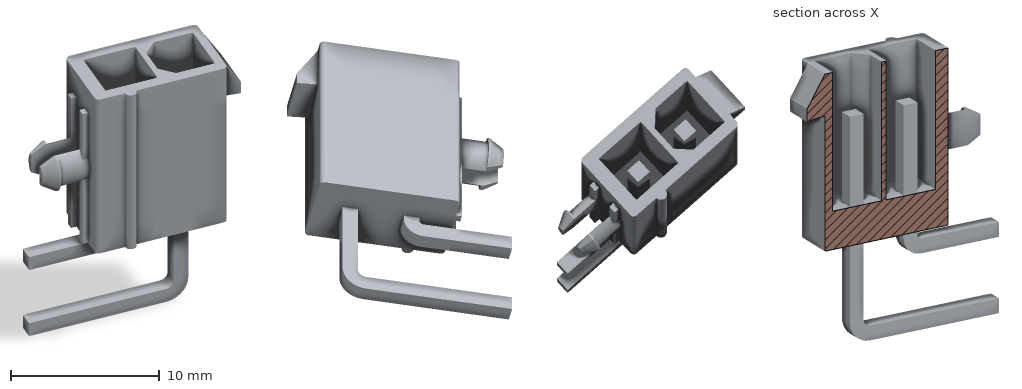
import cadquery as cq
import math


body_width = 5.4
body_length = 9.6
body_height = 12.8
corner_radius = 0.3
front_y = -body_length / 2
back_y = body_length / 2

pin_size = 1.07
pin_pitch = 4.2
row_centre_y = 0.2
front_pin_y = row_centre_y - pin_pitch / 2
back_pin_y = row_centre_y + pin_pitch / 2
pocket_size = 3.8
pocket_depth = 10.0
pocket_floor_z = body_height - pocket_depth
key_chamfer = 0.95
pin_tip_z = body_height - 3.5

tail_reach = 4.0
tail_end_y = front_y - tail_reach
back_tail_bottom_z = -7.13
tail_row_spacing = 5.5
front_tail_bottom_z = back_tail_bottom_z + tail_row_spacing
front_bend_radius = 0.28
back_bend_radius = 0.55

latch_width = 3.4
latch_reach = 1.4
latch_ramp_drop = 2.26
latch_tip_drop = 3.2
latch_root_drop = 3.05

bead_radius = 0.4
bead_y = front_y + 2.5

rib_inner_x = 0.72
rib_width = 0.53
rib_reach = 0.4
rib_height = 10.8

peg_z = 6.2
peg_slot_width = 2 * rib_inner_x
shaft_radius = 1.5
shaft_length = 2.15
head_radius = 1.77
head_land = 0.15
head_taper_length = 1.0
head_taper_angle = 30
head_half_height = math.sqrt(shaft_radius**2 - rib_inner_x**2)


def make_housing():
    block = cq.Workplane("XY").box(body_width, body_length, body_height, centered=(True, True, False))
    return block.edges("|Z").fillet(corner_radius)


def make_pocket(pin_y):
    pocket = cq.Workplane("XY").box(pocket_size, pocket_size, pocket_depth, centered=(True, True, False))
    return pocket.translate((0, pin_y, pocket_floor_z))


def make_pin(pin_y, tail_bottom_z, bend_radius):
    """Square pin that drops from the pocket and bends towards -Y."""
    outer_y = pin_y + pin_size / 2
    inner_y = pin_y - pin_size / 2
    tail_top_z = tail_bottom_z + pin_size
    bend_y = inner_y - bend_radius
    bend_z = tail_top_z + bend_radius
    outer_radius = bend_radius + pin_size
    return (
        cq.Workplane("YZ")
        .moveTo(inner_y, pin_tip_z)
        .lineTo(outer_y, pin_tip_z)
        .lineTo(outer_y, bend_z)
        .radiusArc((bend_y, tail_bottom_z), outer_radius)
        .lineTo(tail_end_y, tail_bottom_z)
        .lineTo(tail_end_y, tail_top_z)
        .lineTo(bend_y, tail_top_z)
        .radiusArc((inner_y, bend_z), -bend_radius)
        .close()
        .extrude(pin_size / 2, both=True)
    )


def make_latch():
    tip_y = back_y + latch_reach
    return (
        cq.Workplane("YZ")
        .moveTo(0, body_height)
        .lineTo(back_y, body_height)
        .lineTo(tip_y, body_height - latch_ramp_drop)
        .lineTo(tip_y, body_height - latch_tip_drop)
        .lineTo(back_y, body_height - latch_root_drop)
        .lineTo(0, body_height - latch_root_drop)
        .close()
        .extrude(latch_width / 2, both=True)
    )


def make_bead():
    return cq.Workplane("XY").center(body_width / 2, bead_y).circle(bead_radius).extrude(body_height)


def make_rib(side):
    rib_x = side * (rib_inner_x + rib_width / 2)
    rib = cq.Workplane("XY").box(rib_width, rib_reach, rib_height, centered=(True, True, False))
    return rib.translate((rib_x, front_y - rib_reach / 2, 0))


def head_outline(plane):
    """Circle cut off by level flats at the top and bottom."""
    flat_x = math.sqrt(head_radius**2 - head_half_height**2)
    return (
        plane.moveTo(-flat_x, head_half_height)
        .lineTo(flat_x, head_half_height)
        .threePointArc((head_radius, 0), (flat_x, -head_half_height))
        .lineTo(-flat_x, -head_half_height)
        .threePointArc((-head_radius, 0), (-flat_x, head_half_height))
        .close()
    )


def make_peg():
    """Round shaft with a tapered snap head, split by an upright slot."""
    wall = cq.Workplane("XZ", origin=(0, front_y, peg_z))
    head_start = wall.workplane(offset=shaft_length)
    taper_start = wall.workplane(offset=shaft_length + head_land)
    peg_length = shaft_length + head_land + head_taper_length

    shaft = wall.circle(shaft_radius).extrude(shaft_length)
    land = head_outline(head_start).extrude(head_land)
    cone = head_outline(taper_start).extrude(head_taper_length, taper=head_taper_angle)
    slot = wall.rect(peg_slot_width, 2 * head_radius).extrude(peg_length)
    return shaft.union(land).union(cone).cut(slot)


housing = make_housing().union(make_latch()).union(make_bead())
for rib_side in (-1, 1):
    housing = housing.union(make_rib(rib_side))
housing = housing.union(make_peg())

housing = housing.cut(make_pocket(front_pin_y))
housing = housing.cut(make_pocket(back_pin_y).edges("|Z and <Y").chamfer(key_chamfer))

front_pin = make_pin(front_pin_y, front_tail_bottom_z, front_bend_radius)
back_pin = make_pin(back_pin_y, back_tail_bottom_z, back_bend_radius)
result = housing.union(front_pin).union(back_pin)